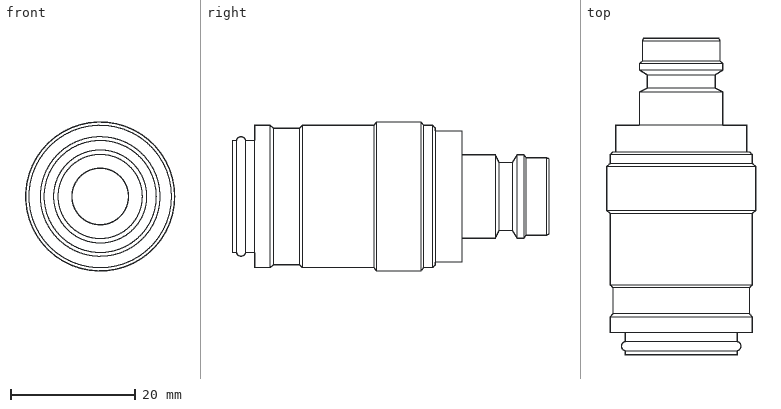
import cadquery as cq

LENGTH = 51.0

SPIGOT_RADIUS = 9.05
RING_RADIUS = 9.65
RING_START = 0.65
RING_END = 2.15

BARREL_RADIUS = 11.5
FLANGE_START = 3.55
FLANGE_END = 6.05
BODY_GROOVE_RADIUS = 11.0
BODY_GROOVE_START = 6.65
BODY_GROOVE_END = 10.8
BARREL_START = 11.25
BARREL_END = 22.8
GRIP_RADIUS = 12.01
GRIP_START = 23.2
GRIP_END = 30.35
SHOULDER_START = 30.8
SHOULDER_END = 32.7
SHOULDER_CHAMFER = 0.45
COLLAR_RADIUS = 10.55
COLLAR_END = 37.0

PLUG_RADIUS = 6.75
PLUG_END = 42.35
LOCK_GROOVE_RADIUS = 5.5
LOCK_GROOVE_START = 42.95
LOCK_GROOVE_END = 45.1
BEAD_START = 45.85
BEAD_END = 46.9
TIP_RADIUS = 6.25
TIP_START = 47.3
TIP_CHAMFER_WIDTH = 0.2
TIP_CHAMFER_LENGTH = 0.45

BORE_RADIUS = 6.8
BORE_DEPTH = 30.6
BORE_CHAMFER = 0.7
PASSAGE_RADIUS = 4.55


def outer_body():
    """Revolve the outside profile, given as (radius, station) points."""
    ring_middle = (RING_START + RING_END) / 2
    stepped_outline = [
        (SPIGOT_RADIUS, FLANGE_START),
        (BARREL_RADIUS, FLANGE_START),
        (BARREL_RADIUS, FLANGE_END),
        (BODY_GROOVE_RADIUS, BODY_GROOVE_START),
        (BODY_GROOVE_RADIUS, BODY_GROOVE_END),
        (BARREL_RADIUS, BARREL_START),
        (BARREL_RADIUS, BARREL_END),
        (GRIP_RADIUS, GRIP_START),
        (GRIP_RADIUS, GRIP_END),
        (BARREL_RADIUS, SHOULDER_START),
        (BARREL_RADIUS, SHOULDER_END - SHOULDER_CHAMFER),
        (BARREL_RADIUS - SHOULDER_CHAMFER, SHOULDER_END),
        (COLLAR_RADIUS, SHOULDER_END),
        (COLLAR_RADIUS, COLLAR_END),
        (PLUG_RADIUS, COLLAR_END),
        (PLUG_RADIUS, PLUG_END),
        (LOCK_GROOVE_RADIUS, LOCK_GROOVE_START),
        (LOCK_GROOVE_RADIUS, LOCK_GROOVE_END),
        (PLUG_RADIUS, BEAD_START),
        (PLUG_RADIUS, BEAD_END),
        (TIP_RADIUS, TIP_START),
        (TIP_RADIUS, LENGTH - TIP_CHAMFER_LENGTH),
        (TIP_RADIUS - TIP_CHAMFER_WIDTH, LENGTH),
        (0, LENGTH),
    ]
    profile = (
        cq.Workplane("XY")
        .lineTo(SPIGOT_RADIUS, 0)
        .lineTo(SPIGOT_RADIUS, RING_START)
        .threePointArc((RING_RADIUS, ring_middle), (SPIGOT_RADIUS, RING_END))
    )
    for radius, station in stepped_outline:
        profile = profile.lineTo(radius, station)
    return profile.close().revolve(360, (0, 0), (0, 1))


def stepped_bore():
    """Wide chamfered front bore leading into a narrower through passage."""
    points = [
        (0, 0),
        (BORE_RADIUS + BORE_CHAMFER, 0),
        (BORE_RADIUS, BORE_CHAMFER),
        (BORE_RADIUS, BORE_DEPTH),
        (PASSAGE_RADIUS, BORE_DEPTH),
        (PASSAGE_RADIUS, LENGTH),
        (0, LENGTH),
    ]
    return cq.Workplane("XY").polyline(points).close().revolve(360, (0, 0), (0, 1))


result = outer_body().cut(stepped_bore())